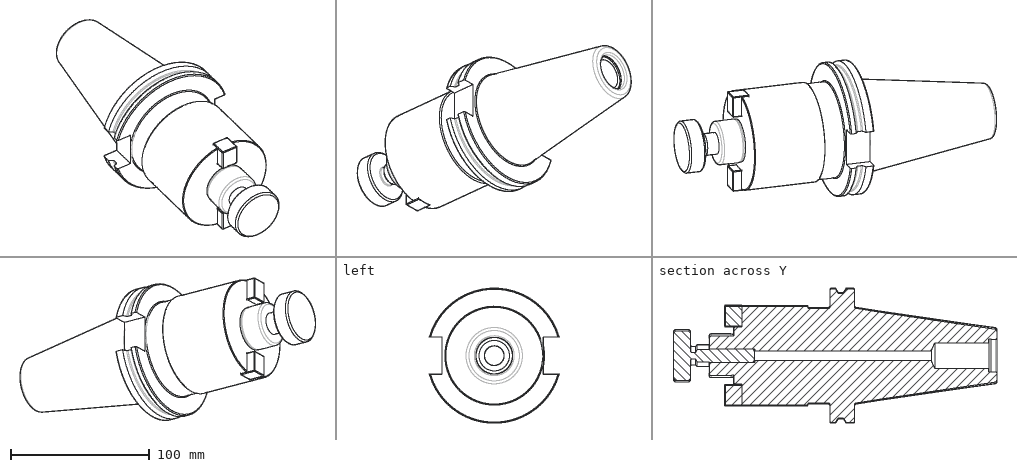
import cadquery as cq
import math


EDGE_MARGIN = 0.1

TAPER_RATE = 7 / 24
GAUGE_DIA = 69.85
GAUGE_X = 101.75
TAPER_END_DIA = GAUGE_DIA - TAPER_RATE * GAUGE_X
TAPER_END_ROUND = 2.2

FLANGE_DIA = 97.5
FLANGE_START_X = 102.75
FLANGE_END_X = 120.75
FLANGE_CHAMFER = 0.8
FLANGE_ROOT_RADIUS = 0.75
GROOVE_DIA = 91.1
GROOVE_CENTER_X = 112.8
GROOVE_BOTTOM_WIDTH = 3.8
GROOVE_ROOT_RADIUS = 1.0
GROOVE_FLANK_ANGLE = 30

SLOT_WIDTH = 26.6
SLOT_FLOOR_FRONT = 35.5
SLOT_FLOOR_BACK = 37.7

COLLAR_DIA = GAUGE_DIA
BODY_DIA = 72.6
BODY_START_X = 136.2
BODY_END_X = 190.2
BODY_CHAMFER = 0.6
PILOT_DIA = 31.75
PILOT_END_X = 207.75
PILOT_END_ROUND = 1.5
UNDERCUT_DIA = 31.25
UNDERCUT_LENGTH = 1.0
UNDERCUT_RAMP_LENGTH = 1.0

BORE_MOUTH_ROUND = 1.3
COUNTERBORE_DIA = 26.2
COUNTERBORE_DEPTH = 6.0
RELIEF_DIA = 26.7
RELIEF_WIDTH = 1.4
BORE_DIA = 21.97
BORE_DEPTH = 45.0
BORE_TIP_ANGLE = 59
PASSAGE_DIA = 14.35

KEY_WIDTH = 12.7
KEY_START_X = 184.4
KEY_END_X = 196.8
KEY_INNER_Z = 20.7
KEY_OUTER_Z = 36.4
KEY_CHAMFER = 0.6
KEY_SIDES = (1, -1)

SCREW_LENGTH = 233.62
HEAD_DIA = 38.0
HEAD_THICKNESS = 12.5
HEAD_ROOT_RADIUS = 0.6
HEAD_CHAMFER = 1.3
SHANK_DIA = 15.88
SHANK_START_X = 175.0
SHANK_END_X = 216.4
TIP_DIA = 14.0
NECK_DIA = 13.6
NECK_CHAMFER_LENGTH = 1.2
HEAD_START_X = SCREW_LENGTH - HEAD_THICKNESS


def turned(profile):
    """Revolve a list of (x, diameter) points, closed along the X axis."""
    points = [(x, dia / 2) for x, dia in profile]
    start = (points[0][0], 0)
    end = (points[-1][0], 0)
    return cq.Workplane("XY").polyline([start, *points, end]).close().revolve(360, (0, 0, 0), (1, 0, 0))


def circle_at(x, dia):
    """Selector for the circular edge of the given diameter around the X axis at x."""
    reach = dia / 2 + EDGE_MARGIN
    return cq.selectors.BoxSelector(
        (x - EDGE_MARGIN, -reach, -reach), (x + EDGE_MARGIN, reach, reach), boundingbox=True
    )


def box_between(x_range, y_range, z_range):
    """Box spanning the given (low, high) ranges."""
    sizes = [high - low for low, high in (x_range, y_range, z_range)]
    low_corner = (x_range[0], y_range[0], z_range[0])
    return cq.Workplane("XY").box(*sizes, centered=False).translate(low_corner)


def make_taper():
    """Steep taper with a rounded small end."""
    taper = turned([(0, TAPER_END_DIA), (GAUGE_X, GAUGE_DIA), (FLANGE_START_X, GAUGE_DIA)])
    return taper.faces("<X").edges().fillet(TAPER_END_ROUND)


def make_flange():
    """Flange with a V-groove and two drive slots of unequal depth."""
    groove_depth = (FLANGE_DIA - GROOVE_DIA) / 2
    bottom_half = GROOVE_BOTTOM_WIDTH / 2
    mouth_half = bottom_half + groove_depth * math.tan(math.radians(GROOVE_FLANK_ANGLE))
    face_dia = FLANGE_DIA - 2 * FLANGE_CHAMFER
    flange = turned([
        (FLANGE_START_X, face_dia),
        (FLANGE_START_X + FLANGE_CHAMFER, FLANGE_DIA),
        (GROOVE_CENTER_X - mouth_half, FLANGE_DIA),
        (GROOVE_CENTER_X - bottom_half, GROOVE_DIA),
        (GROOVE_CENTER_X + bottom_half, GROOVE_DIA),
        (GROOVE_CENTER_X + mouth_half, FLANGE_DIA),
        (FLANGE_END_X - FLANGE_CHAMFER, FLANGE_DIA),
        (FLANGE_END_X, face_dia),
    ])
    for groove_root_x in (GROOVE_CENTER_X - bottom_half, GROOVE_CENTER_X + bottom_half):
        flange = flange.edges(circle_at(groove_root_x, GROOVE_DIA)).fillet(GROOVE_ROOT_RADIUS)
    slot_x = (FLANGE_START_X, FLANGE_END_X)
    slot_z = (-SLOT_WIDTH / 2, SLOT_WIDTH / 2)
    front_slot = box_between(slot_x, (-FLANGE_DIA, -SLOT_FLOOR_FRONT), slot_z)
    back_slot = box_between(slot_x, (SLOT_FLOOR_BACK, FLANGE_DIA), slot_z)
    return flange.cut(front_slot).cut(back_slot)


def make_nose():
    """Collar, main body and pilot ahead of the flange."""
    body_edge_dia = BODY_DIA - 2 * BODY_CHAMFER
    undercut_end_x = BODY_END_X + UNDERCUT_LENGTH
    nose = turned([
        (FLANGE_END_X, COLLAR_DIA),
        (BODY_START_X, COLLAR_DIA),
        (BODY_START_X + BODY_CHAMFER, BODY_DIA),
        (BODY_END_X - BODY_CHAMFER, BODY_DIA),
        (BODY_END_X, body_edge_dia),
        (BODY_END_X, UNDERCUT_DIA),
        (undercut_end_x, UNDERCUT_DIA),
        (undercut_end_x + UNDERCUT_RAMP_LENGTH, PILOT_DIA),
        (PILOT_END_X, PILOT_DIA),
    ])
    return nose.faces(">X").edges().fillet(PILOT_END_ROUND)


def make_bore():
    """Stepped bore with a conical end, leading to the screw through a narrower passage."""
    relief_x = COUNTERBORE_DEPTH - RELIEF_WIDTH
    cone_length = (BORE_DIA - PASSAGE_DIA) / 2 / math.tan(math.radians(BORE_TIP_ANGLE))
    return turned([
        (0, COUNTERBORE_DIA),
        (relief_x, COUNTERBORE_DIA),
        (relief_x, RELIEF_DIA),
        (COUNTERBORE_DEPTH, RELIEF_DIA),
        (COUNTERBORE_DEPTH, BORE_DIA),
        (BORE_DEPTH, BORE_DIA),
        (BORE_DEPTH + cone_length, PASSAGE_DIA),
        (SHANK_START_X, PASSAGE_DIA),
    ])


def make_key_blank(side):
    """Plain key block above (side = 1) or below (side = -1) the axis."""
    z_range = sorted((side * KEY_INNER_Z, side * KEY_OUTER_Z))
    return box_between((KEY_START_X, KEY_END_X), (-KEY_WIDTH / 2, KEY_WIDTH / 2), z_range)


def make_key(side):
    """Drive key chamfered along its length and around its outer end."""
    return make_key_blank(side).edges("|X or >X").chamfer(KEY_CHAMFER)


def make_screw():
    """Clamping screw with a necked shank and a chamfered round head."""
    edge_dia = HEAD_DIA - 2 * HEAD_CHAMFER
    tip_chamfer = (SHANK_DIA - TIP_DIA) / 2
    screw = turned([
        (SHANK_START_X, TIP_DIA),
        (SHANK_START_X + tip_chamfer, SHANK_DIA),
        (SHANK_END_X, SHANK_DIA),
        (SHANK_END_X + NECK_CHAMFER_LENGTH, NECK_DIA),
        (HEAD_START_X, NECK_DIA),
        (HEAD_START_X, edge_dia),
        (HEAD_START_X + HEAD_CHAMFER, HEAD_DIA),
        (SCREW_LENGTH - HEAD_CHAMFER, HEAD_DIA),
        (SCREW_LENGTH, edge_dia),
    ])
    return screw.edges(circle_at(HEAD_START_X, NECK_DIA)).fillet(HEAD_ROOT_RADIUS)


def make_arbor():
    """Arbor body with its bore, key seats and screw hole."""
    arbor = make_taper().union(make_flange()).union(make_nose())
    for root_x in (FLANGE_START_X, FLANGE_END_X):
        arbor = arbor.edges(circle_at(root_x, COLLAR_DIA)).fillet(FLANGE_ROOT_RADIUS)
    arbor = arbor.cut(make_bore())
    arbor = arbor.edges(circle_at(0, COUNTERBORE_DIA)).fillet(BORE_MOUTH_ROUND)
    for side in KEY_SIDES:
        arbor = arbor.cut(make_key_blank(side))
    screw_hole = turned([(SHANK_START_X, SHANK_DIA), (PILOT_END_X, SHANK_DIA)])
    return arbor.cut(screw_hole)


arbor = make_arbor()
keys = [make_key(side) for side in KEY_SIDES]
screw = make_screw()

result = cq.Compound.makeCompound([arbor.val(), *[key.val() for key in keys], screw.val()])